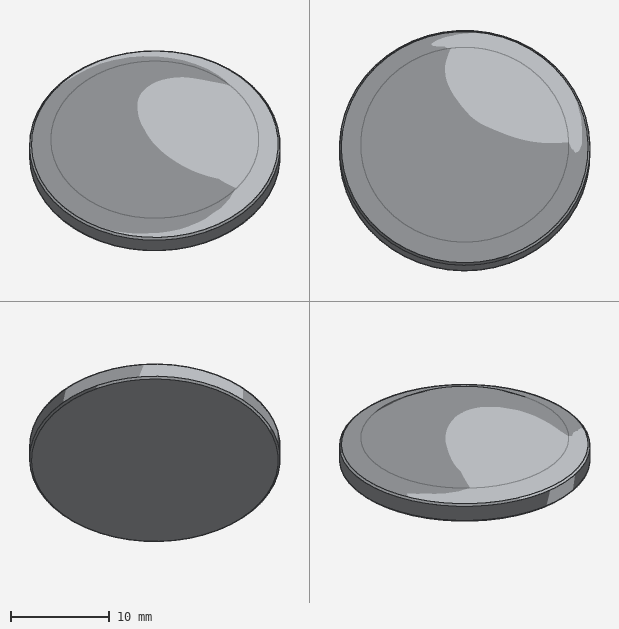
import cadquery as cq
import math

outer_diameter = 25.4
total_height = 6.17
rim_height = 2.03
edge_chamfer = 0.2
dome_base_diameter = 21.08
dome_base_height = 2.75
skirt_end_slope = math.radians(4)

outer_radius = outer_diameter / 2
dome_base_radius = dome_base_diameter / 2
lip_radius = outer_radius - edge_chamfer

skirt_run = lip_radius - dome_base_radius
skirt_drop = dome_base_height - rim_height
chord_length = math.hypot(skirt_run, skirt_drop)
chord_slope = math.atan2(skirt_drop, skirt_run)
skirt_sagitta = chord_length / 2 * math.tan((chord_slope - skirt_end_slope) / 2)
skirt_middle = (
    (dome_base_radius + lip_radius) / 2 - skirt_sagitta * math.sin(chord_slope),
    (dome_base_height + rim_height) / 2 - skirt_sagitta * math.cos(chord_slope),
)

dome_rise = total_height - dome_base_height
sphere_radius = (dome_base_radius**2 + dome_rise**2) / (2 * dome_rise)
half_dome_angle = math.asin(dome_base_radius / sphere_radius) / 2
dome_middle = (
    sphere_radius * math.sin(half_dome_angle),
    total_height - sphere_radius * (1 - math.cos(half_dome_angle)),
)

profile = (
    cq.Workplane("XZ")
    .moveTo(0, 0)
    .lineTo(lip_radius, 0)
    .lineTo(outer_radius, edge_chamfer)
    .lineTo(outer_radius, rim_height - edge_chamfer)
    .lineTo(lip_radius, rim_height)
    .threePointArc(skirt_middle, (dome_base_radius, dome_base_height))
    .threePointArc(dome_middle, (0, total_height))
    .close()
)

result = profile.revolve(360, (0, 0, 0), (0, 1, 0))